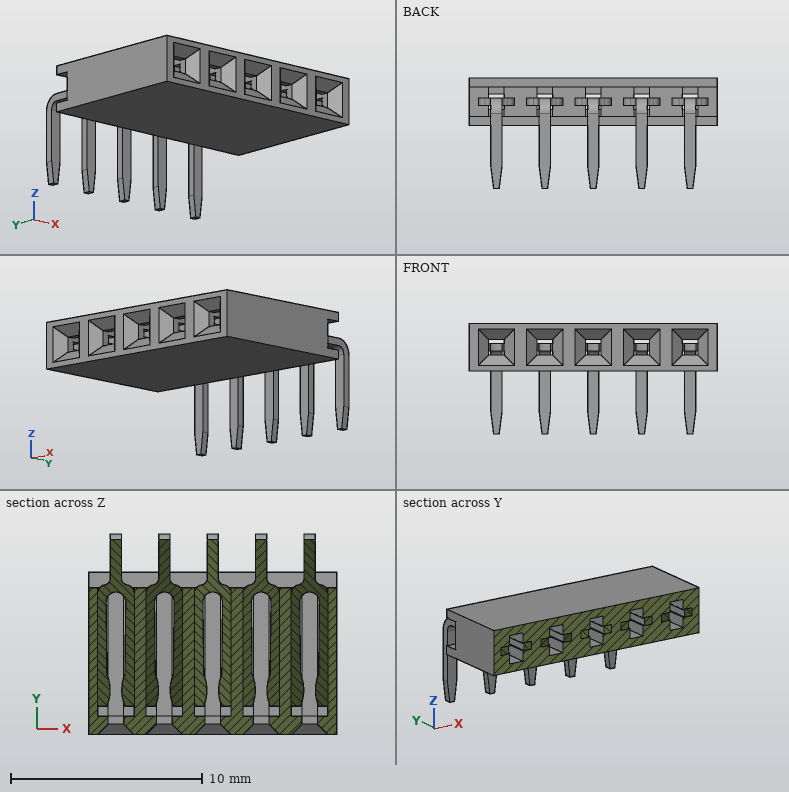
import cadquery as cq
import math

diagonal = math.sqrt(0.5)

pin_count = 5
pitch = 2.54
pin_xs = [(i - (pin_count - 1) / 2) * pitch for i in range(pin_count)]

housing_width = 13.0
housing_length = 8.5
housing_height = 2.5

groove_depth = 0.8
groove_height = 1.53
groove_floor_y = housing_length - groove_depth

mouth_size = 1.9
throat_size = 0.8
funnel_depth = (mouth_size - throat_size) / 2
throat_length = 0.42
slot_start_y = funnel_depth + throat_length

overall_length = 10.5
overall_height = 5.8

strip_width = 0.6
strip_thickness = 0.4
bend_inner_radius = 0.4
bend_outer_radius = bend_inner_radius + strip_thickness
leg_bottom_z = housing_height / 2 - overall_height
tip_length = 1.17
tip_width = 0.3

fork_half_width = 0.95
fork_corner_radius = 0.43
base_fillet_radius = 0.34
base_thickness = 0.39
crotch_radius = 0.51
fork_overhang = 0.48
tip_clearance = 0.52
fillet_start_y = groove_floor_y + fork_overhang
tine_tip_y = slot_start_y + tip_clearance

neck_half_gap = strip_width / 2
bulge_height = 0.17
bulge_half_length = 0.85
bulge_half_gap = neck_half_gap + bulge_height
neck_y = tine_tip_y + bulge_half_length
bulge_end_y = neck_y + bulge_half_length

fillet_centre_x = strip_width / 2 + base_fillet_radius
corner_centre_x = fork_half_width - fork_corner_radius
arc_centre_distance = fork_corner_radius + base_fillet_radius
fillet_angle = math.acos((fillet_centre_x - corner_centre_x) / arc_centre_distance)
corner_centre_y = fillet_start_y - arc_centre_distance * math.sin(fillet_angle)
crotch_y = corner_centre_y + fork_corner_radius - base_thickness
crotch_centre_y = crotch_y - crotch_radius


def make_housing():
    body = cq.Workplane("XY").box(housing_width, housing_length, housing_height, centered=(True, False, True))
    groove = (
        cq.Workplane("XY")
        .box(housing_width, groove_depth, groove_height, centered=(True, False, True))
        .translate((0, groove_floor_y, 0))
    )
    body = body.cut(groove)
    for x in pin_xs:
        body = body.cut(make_socket().translate((x, 0, 0)))
    return body


def make_socket():
    funnel = (
        cq.Workplane("XZ")
        .rect(mouth_size, mouth_size)
        .workplane(offset=-funnel_depth)
        .rect(throat_size, throat_size)
        .loft(ruled=True)
    )
    throat = (
        cq.Workplane("XZ", origin=(0, funnel_depth, 0))
        .rect(throat_size, throat_size)
        .extrude(-throat_length)
    )
    slot_length = groove_floor_y - slot_start_y
    slot_plane = cq.Workplane("XZ", origin=(0, slot_start_y, 0))
    tall_slot = slot_plane.rect(throat_size, groove_height).extrude(-slot_length)
    flat_slot = slot_plane.rect(2 * fork_half_width, strip_thickness).extrude(-slot_length)
    return funnel.union(throat).union(tall_slot).union(flat_slot)


def make_bent_strip():
    back_y = overall_length
    front_y = back_y - strip_thickness
    top_z = strip_thickness / 2
    bend_y = back_y - bend_outer_radius
    bend_z = top_z - bend_outer_radius
    return (
        cq.Workplane("YZ")
        .moveTo(fillet_start_y, top_z)
        .lineTo(bend_y, top_z)
        .threePointArc(
            (bend_y + bend_outer_radius * diagonal, bend_z + bend_outer_radius * diagonal), (back_y, bend_z)
        )
        .lineTo(back_y, leg_bottom_z)
        .lineTo(front_y, leg_bottom_z)
        .lineTo(front_y, bend_z)
        .threePointArc(
            (bend_y + bend_inner_radius * diagonal, bend_z + bend_inner_radius * diagonal),
            (bend_y, -strip_thickness / 2),
        )
        .lineTo(fillet_start_y, -strip_thickness / 2)
        .close()
        .extrude(strip_width / 2, both=True)
    )


def make_tip_cutter(side):
    """Wedge that tapers one side of the leg: side is -1 for -X and 1 for +X."""
    shoulder_z = leg_bottom_z + tip_length
    return (
        cq.Workplane("XZ", origin=(0, overall_length, 0))
        .moveTo(side * strip_width / 2, shoulder_z)
        .lineTo(side * strip_width / 2, leg_bottom_z)
        .lineTo(side * tip_width / 2, leg_bottom_z)
        .close()
        .extrude(strip_thickness)
    )


def corner_point(angle):
    """Point on the rounded fork corner, with the angle measured from +X."""
    return (
        corner_centre_x + fork_corner_radius * math.cos(angle),
        corner_centre_y + fork_corner_radius * math.sin(angle),
    )


def fillet_point(angle):
    """Point on the base fillet, with the angle measured from the strip side."""
    return (
        fillet_centre_x - base_fillet_radius * math.cos(angle),
        fillet_start_y - base_fillet_radius * math.sin(angle),
    )


def make_half_fork():
    """The half on the +X side of the contact's middle plane."""
    return (
        cq.Workplane("XY", origin=(0, 0, -strip_thickness / 2))
        .moveTo(0, fillet_start_y)
        .lineTo(strip_width / 2, fillet_start_y)
        .threePointArc(fillet_point(fillet_angle / 2), corner_point(fillet_angle))
        .threePointArc(corner_point(fillet_angle / 2), (fork_half_width, corner_centre_y))
        .lineTo(fork_half_width, tine_tip_y)
        .lineTo(bulge_half_gap, tine_tip_y)
        .threePointArc((neck_half_gap, neck_y), (bulge_half_gap, bulge_end_y))
        .lineTo(crotch_radius, crotch_centre_y)
        .threePointArc((crotch_radius * diagonal, crotch_centre_y + crotch_radius * diagonal), (0, crotch_y))
        .close()
        .extrude(strip_thickness)
    )


def make_fork():
    half = make_half_fork()
    return half.union(half.mirror("YZ"))


def make_contact(x):
    contact = make_bent_strip().union(make_fork())
    for side in (-1, 1):
        contact = contact.cut(make_tip_cutter(side))
    return contact.translate((x, 0, 0))


housing = make_housing()
contacts = [make_contact(x) for x in pin_xs]
result = cq.Compound.makeCompound([housing.val(), *[contact.val() for contact in contacts]])